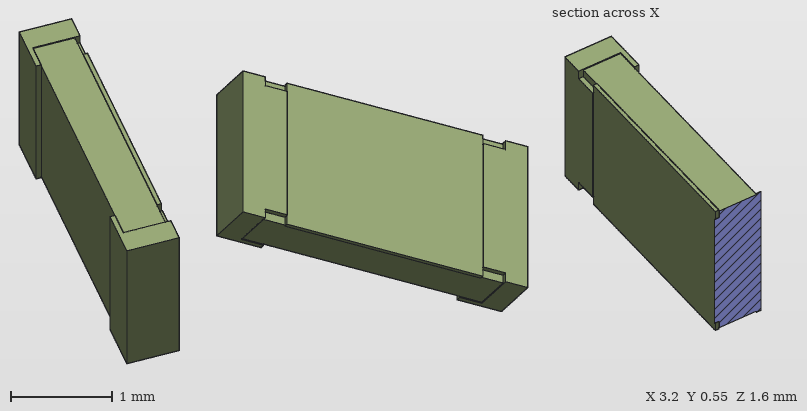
import cadquery as cq

length = 3.2
thickness = 0.55
height = 1.6

terminal_width = 0.5
end_wall = 0.25
plating = 0.055
back_pad_inset = 0.1

body_length = length - 2 * end_wall
body_thickness = thickness - 2 * plating
body_inset = 0.0125
body_height = height - 2 * body_inset

coat_length = length - 2 * terminal_width
coat_thickness = 0.045

back_face = body_thickness / 2


def centred_box(x_size, y_size, z_size, x=0, y=0):
    """Box centred on the point (x, y, 0)."""
    return cq.Workplane("XY").box(x_size, y_size, z_size).translate((x, y, 0))


def terminal(side):
    """End wall with a front pad and a shorter back pad; side is -1 or +1 along X."""
    wall_x = side * (length - end_wall) / 2
    pad_x = side * (length - terminal_width) / 2
    pad_y = (thickness - plating) / 2
    wall = centred_box(end_wall, thickness, height, x=wall_x)
    front_pad = centred_box(terminal_width, plating, height, x=pad_x, y=-pad_y)
    back_pad = centred_box(terminal_width, plating, height - 2 * back_pad_inset, x=pad_x, y=pad_y)
    return wall.union(front_pad).union(back_pad)


body = centred_box(body_length, body_thickness, body_height)
coat = centred_box(coat_length, coat_thickness, height, y=back_face + coat_thickness / 2)

result = body.union(coat)
for side in (-1, 1):
    result = result.union(terminal(side))